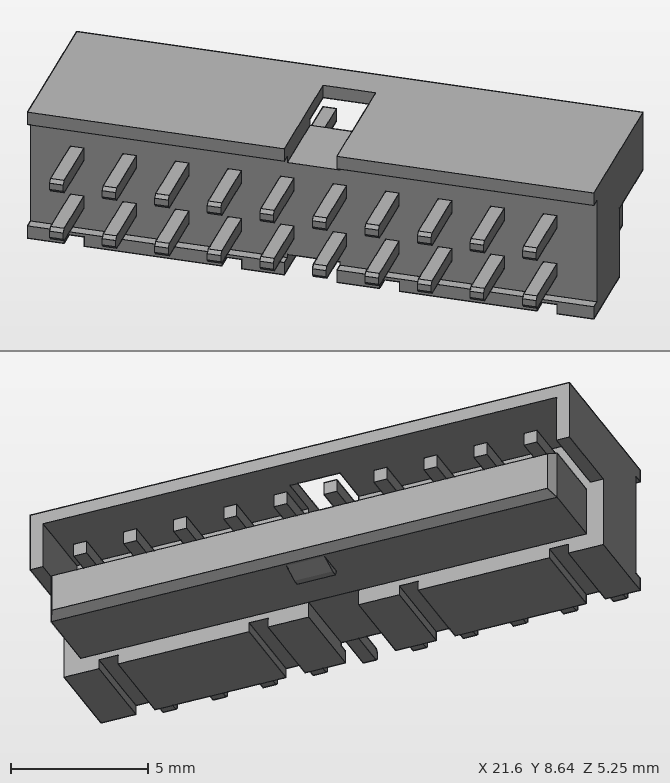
import cadquery as cq


LENGTH = 21.55
HEIGHT = 5.25
DEPTH = 6.35
WALL = 0.52
RIM = 0.39
BASE_END = 3.32
SHROUD_BOTTOM = 2.87
SIDE_WALL = 0.52

ROW_SPAN = 18.0
COLUMNS = 10
PITCH = ROW_SPAN / (COLUMNS - 1)
PIN_SIZE = 0.52
PIN_PROTRUSION = 2.29
PIN_TIP_CHAMFER = 0.13
LOWER_ROW_Z = 1.62
PIN_ROWS_Z = (LOWER_ROW_Z, LOWER_ROW_Z + PITCH)
MATING_PIN_END = 5.86

KEY_WIDTH = PITCH
KEY_END = 5.0
KEY_FLOOR = 4.48
LATCH_SLOT_TOP = 0.65
VENT_WIDTH = 0.75
VENT_DEPTH = 0.39
VENT_COLUMNS = (0, 3, 6, 9)

BLOCK_INSET = 0.67
BLOCK_BOTTOM = LATCH_SLOT_TOP
BLOCK_TOP = 2.59
BLOCK_TAPER_LENGTH = 0.39
BLOCK_TAPER = 0.22

LATCH_WIDTH = 1.53
LATCH_HEIGHT = 0.22
LATCH_BACK = 4.79
LATCH_CREST_BACK = 4.87
LATCH_CREST_FRONT = 5.1
LATCH_FRONT = 5.85


def box(x_range, y_range, z_range):
    """Axis-aligned box between the given limits."""
    (x0, x1), (y0, y1), (z0, z1) = x_range, y_range, z_range
    return cq.Workplane("XY").box(x1 - x0, y1 - y0, z1 - z0, centered=False).translate((x0, y0, z0))


def centred(width, middle=0.0):
    """Limits of a span of the given width about its middle."""
    return (middle - width / 2, middle + width / 2)


def extrude_along_x(profile, width, x_middle=0.0):
    """Solid from a closed (Y, Z) profile, centred on x_middle."""
    return cq.Workplane("YZ").polyline(profile).close().extrude(width / 2, both=True).translate((x_middle, 0, 0))


def column_x(column):
    return (column - (COLUMNS - 1) / 2) * PITCH


def make_shell():
    profile = [
        (0, 0), (BASE_END, 0), (BASE_END, SHROUD_BOTTOM), (DEPTH, SHROUD_BOTTOM), (DEPTH, HEIGHT),
        (0, HEIGHT), (0, HEIGHT - WALL), (RIM, HEIGHT - WALL), (RIM, WALL), (0, WALL),
    ]
    shroud_cavity = box(
        centred(LENGTH - 2 * SIDE_WALL), (BASE_END, DEPTH), (SHROUD_BOTTOM, HEIGHT - WALL)
    )
    return extrude_along_x(profile, LENGTH).cut(shroud_cavity)


def cut_wall_openings(shell):
    key_slot = box(centred(KEY_WIDTH), (0, KEY_END), (KEY_FLOOR, HEIGHT))
    latch_slot = box(centred(KEY_WIDTH), (0, BASE_END), (0, LATCH_SLOT_TOP))
    shell = shell.cut(key_slot).cut(latch_slot)
    for column in VENT_COLUMNS:
        vent = box(centred(VENT_WIDTH, column_x(column)), (0, BASE_END), (0, VENT_DEPTH))
        shell = shell.cut(vent)
    return shell


def make_board_pin(x, z):
    """Square pin from the base to the board, bevelled above and below its tip."""
    tip = -PIN_PROTRUSION
    half = PIN_SIZE / 2
    profile = [
        (BASE_END, z - half), (BASE_END, z + half),
        (tip + PIN_TIP_CHAMFER, z + half), (tip, z + half - PIN_TIP_CHAMFER),
        (tip, z - half + PIN_TIP_CHAMFER), (tip + PIN_TIP_CHAMFER, z - half),
    ]
    return extrude_along_x(profile, PIN_SIZE, x)


def make_housing():
    housing = cut_wall_openings(make_shell())
    for column in range(COLUMNS):
        x = column_x(column)
        for z in PIN_ROWS_Z:
            housing = housing.union(make_board_pin(x, z))
        mating_pin = box(
            centred(PIN_SIZE, x), (RIM, MATING_PIN_END), centred(PIN_SIZE, PIN_ROWS_Z[1])
        )
        housing = housing.union(mating_pin)
    return housing


def make_mating_block():
    """Bar against the base, tapered at its free end, with a latch bump below."""
    width = LENGTH - 2 * BLOCK_INSET
    height = BLOCK_TOP - BLOCK_BOTTOM
    taper_start = DEPTH - BLOCK_TAPER_LENGTH
    bar = box(centred(width), (BASE_END, taper_start), (BLOCK_BOTTOM, BLOCK_TOP))
    z_middle = BLOCK_BOTTOM + height / 2
    end_taper = (
        cq.Workplane(cq.Plane((0, taper_start, z_middle), xDir=(1, 0, 0), normal=(0, 1, 0)))
        .rect(width, height)
        .workplane(offset=BLOCK_TAPER_LENGTH)
        .rect(width - 2 * BLOCK_TAPER, height - 2 * BLOCK_TAPER)
        .loft(ruled=True)
    )
    crest = BLOCK_BOTTOM - LATCH_HEIGHT
    latch_profile = [
        (LATCH_BACK, BLOCK_BOTTOM), (LATCH_CREST_BACK, crest),
        (LATCH_CREST_FRONT, crest), (LATCH_FRONT, BLOCK_BOTTOM),
    ]
    latch = extrude_along_x(latch_profile, LATCH_WIDTH)
    return bar.union(end_taper).union(latch)


housing = make_housing()
mating_block = make_mating_block()

result = cq.Compound.makeCompound([housing.val(), mating_block.val()])